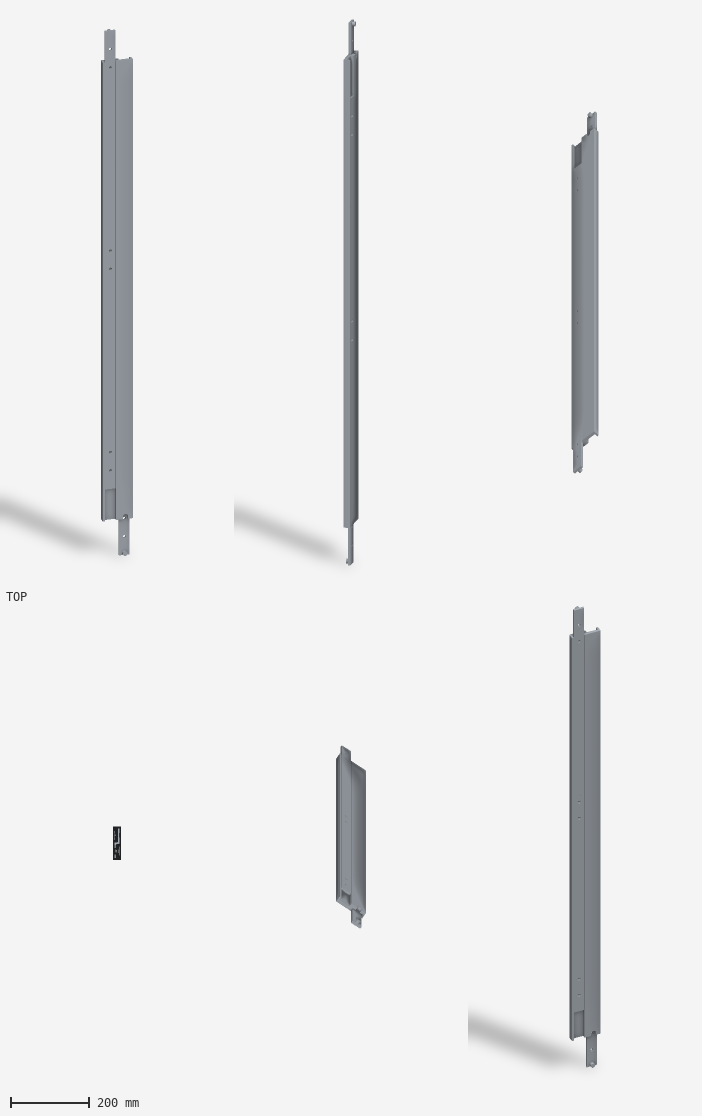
import cadquery as cq

HOUSING_THICKNESS = 17.0
HOUSING_WIDTH = 80.0
HOUSING_LENGTH = 1253.0
GROOVE_WIDTH = 30.0
GROOVE_OFFSET = 20.0
GROOVE_DEPTH = 9.0

BAR_WIDTH = 28.0
BAR_THICKNESS = 6.5
BAR_LENGTH = 1250.0
OVERALL_LENGTH = 1438.81
LOWER_EXTENSION = 102.0
UPPER_EXTENSION = OVERALL_LENGTH - HOUSING_LENGTH - LOWER_EXTENSION
HOLE_DIAMETER = 8.0
HOLE_FIRST = 50.0
HOLE_PAIR_SPACING = 50.0
HOLE_PAIR_PITCH = 550.0
HOLE_PAIR_COUNT = 3
HOLES_PER_PAIR = 2

PIN_DIAMETER = 12.0
PIN_LENGTH = 8.0
PIN_TIP_DISTANCE = 6.0
NOTCH_WIDTH = 13.0
NOTCH_DEPTH = 14.0

GROOVE_FLOOR = HOUSING_THICKNESS / 2 - GROOVE_DEPTH
GROOVE_CENTRE_X = HOUSING_THICKNESS / 2 - GROOVE_DEPTH / 2
BAR_INNER = HOUSING_THICKNESS / 2 - BAR_THICKNESS


def half_turn(body):
    """Turn a body half a revolution about the Z axis."""
    return body.rotate((0, 0, 0), (0, 0, 1), 180)


def make_groove():
    """Full-length groove cutter for the +X face."""
    return cq.Workplane("XY").box(
        GROOVE_DEPTH, GROOVE_WIDTH, HOUSING_LENGTH, centered=(True, True, False)
    ).translate((GROOVE_CENTRE_X, -GROOVE_OFFSET, 0))


def make_notch():
    """Round-bottomed notch cutter, open at the top end, from the -X face to the +X groove."""
    radius = NOTCH_WIDTH / 2
    arc_centre = HOUSING_LENGTH - NOTCH_DEPTH + radius
    return (
        cq.Workplane("YZ", origin=(-HOUSING_THICKNESS / 2, -GROOVE_OFFSET, 0))
        .moveTo(-radius, HOUSING_LENGTH)
        .lineTo(-radius, arc_centre)
        .threePointArc((0, arc_centre - radius), (radius, arc_centre))
        .lineTo(radius, HOUSING_LENGTH)
        .close()
        .extrude(HOUSING_THICKNESS / 2 + GROOVE_FLOOR)
    )


def flip_to_bottom(body):
    """Swap the top and bottom ends of the housing, and its two faces with their grooves."""
    middle = HOUSING_LENGTH / 2
    return half_turn(body.mirror("XY", (0, 0, middle)))


def make_housing():
    """Housing with two grooves and a pin notch at each end."""
    housing = cq.Workplane("XY").box(
        HOUSING_THICKNESS, HOUSING_WIDTH, HOUSING_LENGTH, centered=(True, True, False)
    )
    for cutter in (make_groove(), make_notch()):
        housing = housing.cut(cutter).cut(flip_to_bottom(cutter))
    return housing


def make_bar():
    """Bar for the +X groove with its outer tip at Z = 0, running down, and its stop pin."""
    bar = cq.Workplane("XY").box(
        BAR_THICKNESS, BAR_WIDTH, BAR_LENGTH, centered=(False, True, False)
    ).translate((BAR_INNER, 0, -BAR_LENGTH))

    hole_centres = [
        (0, -(HOLE_FIRST + pair * HOLE_PAIR_PITCH + hole * HOLE_PAIR_SPACING))
        for pair in range(HOLE_PAIR_COUNT)
        for hole in range(HOLES_PER_PAIR)
    ]
    holes = (
        cq.Workplane("YZ", origin=(BAR_INNER, 0, 0))
        .pushPoints(hole_centres)
        .circle(HOLE_DIAMETER / 2)
        .extrude(BAR_THICKNESS)
    )
    pin = (
        cq.Workplane("YZ", origin=(BAR_INNER - PIN_LENGTH, 0, 0))
        .center(0, -PIN_TIP_DISTANCE)
        .circle(PIN_DIAMETER / 2)
        .extrude(PIN_LENGTH)
    )
    return bar.cut(holes).union(pin).translate((0, -GROOVE_OFFSET, 0))


housing = make_housing()
upper_bar = make_bar().translate((0, 0, HOUSING_LENGTH + UPPER_EXTENSION))
lower_bar = half_turn(make_bar().mirror("XY")).translate((0, 0, -LOWER_EXTENSION))

bodies = (housing, upper_bar, lower_bar)
result = cq.Compound.makeCompound([body.solids().val() for body in bodies])